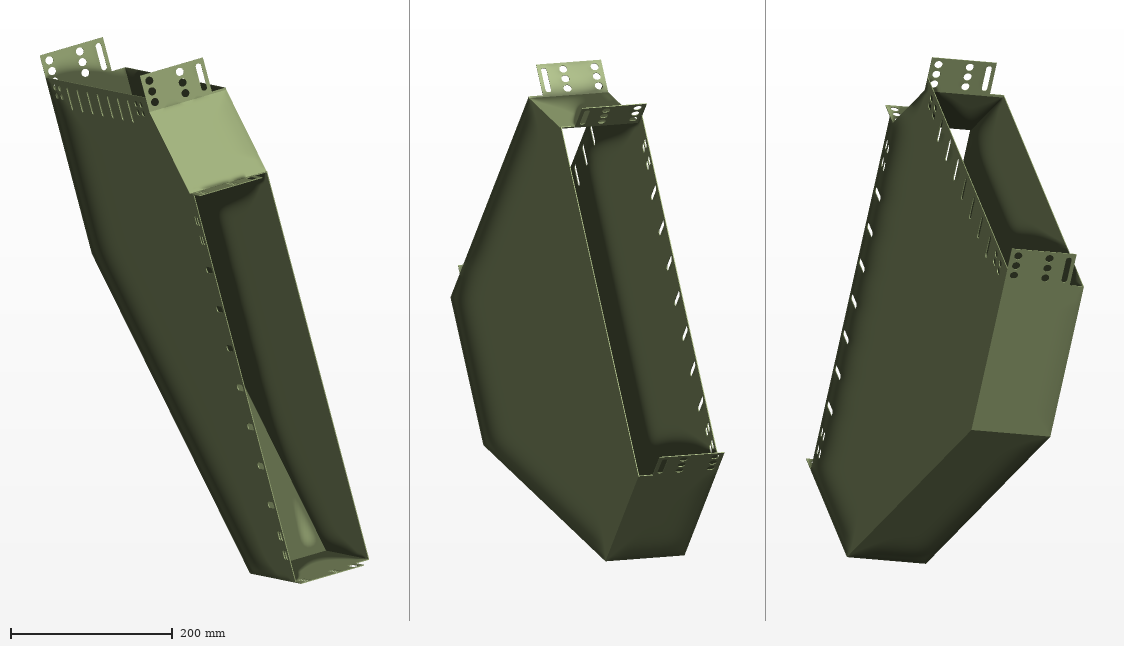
import cadquery as cq
import math

sheet = 1.0
cut_reach = 2 * sheet

opening_width = 500.0
outer_arm = 227.0
inner_arm = 18.0
inner_wall_width = 141.0

wall_height = 78.0
total_height = 102.0

tab_overhang = 28.0
tab_height = 83.0
cover_setback = 16.0

tab_hole_diameter = 10.0
tab_hole_first = 9.0
tab_hole_pitch = 14.0
tab_hole_columns = 3
tab_hole_heights = (10.0, 50.0)
tab_slot_length = 35.0
tab_slot_width = 7.0
tab_slot_height = 75.0

slot_length = 30.0
slot_width = 8.0
slot_pitch = 50.0
slot_count = 7
slot_inset = 22.0

short_slot_length = 13.0
short_slot_width = 7.0
short_slot_distances = (35.0, 60.0)
short_slot_insets = (11.0, 22.0)

turn_x = -0.4
turn_y = -1.6
turn_z = 1.25

diagonal = math.sqrt(0.5)
miter = math.tan(math.radians(22.5))
half_inner = inner_wall_width / 2
half_outer = half_inner + (inner_arm + opening_width - outer_arm) * diagonal
depth = (outer_arm + opening_width - inner_arm) * diagonal
outer_end = (half_outer + outer_arm * diagonal, outer_arm * diagonal)
inner_end = (half_inner + inner_arm * diagonal, depth + inner_arm * diagonal)


def along_arm(end, reach, shift):
    """Point `reach` beyond an arm end and `shift` sideways towards the inside of the bend."""
    return end[0] + (reach - shift) * diagonal, end[1] + (reach + shift) * diagonal


def outer_path(reach, inset):
    """Half of the outer wall line, from the centre plane to its arm end."""
    return [(0, inset), (half_outer - inset * miter, inset), along_arm(outer_end, reach, inset)]


def inner_path(reach, inset):
    """Half of the inner wall line, from the centre plane to its arm end."""
    corner = (half_inner + inset * miter, depth - inset)
    return [(0, depth - inset), corner, along_arm(inner_end, reach, -inset)]


def prism(points, bottom, top):
    """Plan outline raised along +Y between two heights."""
    return cq.Workplane("XZ", origin=(0, bottom, 0)).polyline(points).close().extrude(bottom - top)


def plate(reach, bottom, top):
    """Half of a flat sheet over the whole plan."""
    return prism(outer_path(reach, 0) + inner_path(reach, 0)[::-1], bottom, top)


def walls(reach, bottom, top):
    """Outer and inner walls of one half, as two strips."""
    solid = cq.Workplane("XZ")
    for path in (outer_path, inner_path):
        solid = solid.add(prism(path(reach, 0) + path(reach, sheet)[::-1], bottom, top))
    return solid.combine()


def tab(end, inward):
    """Tab on one arm; `inward` is +1 or -1, the side on which the sheet thickness lies."""
    corners = [
        along_arm(end, -cover_setback, 0),
        along_arm(end, tab_overhang, 0),
        along_arm(end, tab_overhang, inward * sheet),
        along_arm(end, -cover_setback, inward * sheet),
    ]
    return prism(corners, 0, tab_height)


def tab_holes(end):
    """Cutter for the round holes and the one long slot of a tab."""
    x, z = along_arm(end, tab_overhang, 0)
    face = cq.Plane(origin=(x, 0, z), xDir=(-1, 0, -1), normal=(1, 0, -1))
    columns = [tab_hole_first + i * tab_hole_pitch for i in range(tab_hole_columns)]
    centres = [(column, height) for column in columns for height in tab_hole_heights]
    round_holes = cq.Workplane(face).pushPoints(centres).circle(tab_hole_diameter / 2)
    middle = sum(columns) / tab_hole_columns
    slot = cq.Workplane(face).center(middle, tab_slot_height).slot2D(tab_slot_length, tab_slot_width)
    return round_holes.extrude(cut_reach, both=True).union(slot.extrude(cut_reach, both=True))


def floor_slots():
    """Cutter for the row of slots along one opening."""
    opening = cq.Plane(origin=(outer_end[0], 0, outer_end[1]), xDir=(-1, 0, 1), normal=(0, -1, 0))
    first = (opening_width - (slot_count - 1) * slot_pitch) / 2
    long_centres = [(first + i * slot_pitch, slot_inset) for i in range(slot_count)]
    distances = [*short_slot_distances, *(opening_width - d for d in short_slot_distances)]
    short_centres = [(distance, inset) for distance in distances for inset in short_slot_insets]
    long_slots = cq.Workplane(opening).pushPoints(long_centres).slot2D(slot_length, slot_width, 90)
    short_slots = cq.Workplane(opening).pushPoints(short_centres).slot2D(short_slot_length, short_slot_width)
    return long_slots.extrude(cut_reach, both=True).union(short_slots.extrude(cut_reach, both=True))


def both_halves(half):
    return half.union(half.mirror("YZ"))


def in_place(body):
    """Body turned to the attitude of the assembly."""
    origin = (0, 0, 0)
    body = body.rotate(origin, (0, 1, 0), turn_y)
    body = body.rotate(origin, (1, 0, 0), turn_x)
    return body.rotate(origin, (0, 0, 1), turn_z)


def make_tray():
    half = plate(0, 0, sheet).cut(floor_slots())
    half = half.union(walls(-cover_setback, 0, wall_height))
    half = half.union(tab(outer_end, 1)).union(tab(inner_end, -1))
    for end in (outer_end, inner_end):
        half = half.cut(tab_holes(end))
    return in_place(both_halves(half))


def make_cover():
    half = plate(-cover_setback, total_height - sheet, total_height)
    half = half.union(walls(-cover_setback, wall_height, total_height))
    return in_place(both_halves(half))


tray = make_tray()
cover = make_cover()

result = cq.Compound.makeCompound([tray.solids().val(), cover.solids().val()])